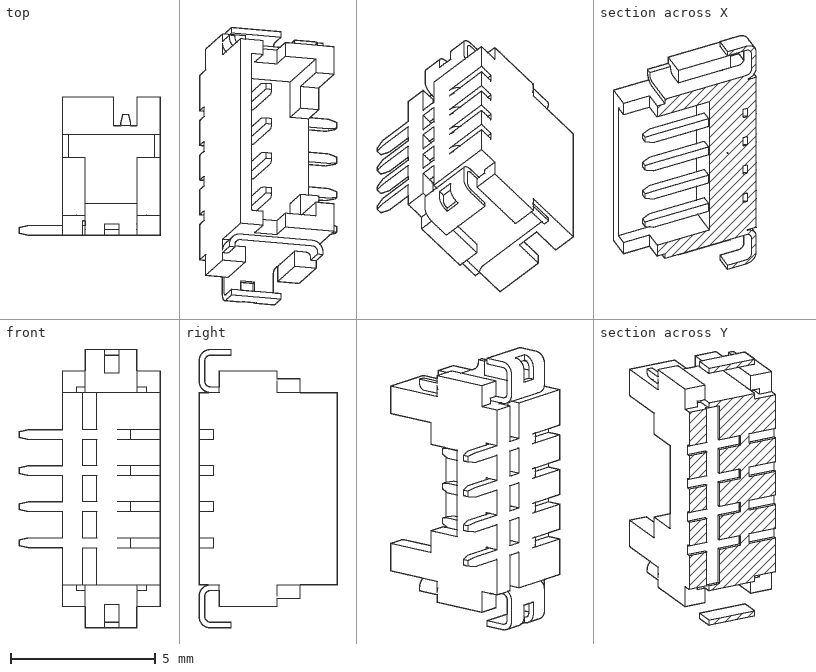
import cadquery as cq
import math


body_x = 3.4
body_y = 4.8
body_half_z = 3.33

front_wall = 0.67
rear_wall = 0.4
cavity_half_z = 2.83
cavity_floor_y = 1.8
window_upper_half_z = 2.34
window_upper_y = 2.99
window_lower_half_z = 1.55
key_x = 1.78
key_width = 0.8
key_depth = 0.99

pin_count = 4
pin_pitch = 1.25
pin_size = 0.35
pin_tail_length = 1.51
pin_upright_x = 2.02
pin_end_y = 4.2
pin_inner_bend = 0.11
tail_point_length = 0.33
upright_point_length = 0.29
pin_point_size = 0.2
slot_depth = 0.5
groove_x = 0.69
groove_width = 0.49

ear_bottom_y = 0.69
ear_top_y = 2.7
ear_end_z = 4.08
ear_gap_start_x = 0.78
ear_gap_end_x = 2.58

sheet = 0.2
clip_end_z = 4.825
clip_return_y = 1.11
clip_outer_bend = 0.4
clip_top_y = 3.5
clip_shoulder_x = 0.48
clip_shoulder_y = 1.0
clip_shoulder_radius = 0.2
curl_lip_end_z = 3.81
clip_window_x = 1.46
clip_window_width = 0.5
clip_window_start_z = 4.01

mid_x = body_x / 2
cos_45 = math.cos(math.pi / 4)


def box(x0, x1, y0, y1, z0, z1):
    """Box spanning the given limits along X, Y and Z."""
    return cq.Workplane("XY").box(x1 - x0, y1 - y0, z1 - z0, centered=False).translate((x0, y0, z0))


def pin_heights():
    """Centre heights of the pins, lowest first."""
    first = -(pin_count - 1) * pin_pitch / 2
    return [first + i * pin_pitch for i in range(pin_count)]


def make_housing():
    housing = box(0, body_x, 0, body_y, -body_half_z, body_half_z)
    cavity_end_x = body_x - rear_wall
    housing = housing.cut(
        box(front_wall, cavity_end_x, cavity_floor_y, body_y, -cavity_half_z, cavity_half_z)
    )

    for half_z, bottom_y in (
        (window_upper_half_z, window_upper_y),
        (window_lower_half_z, cavity_floor_y),
    ):
        housing = housing.cut(box(0, front_wall, bottom_y, body_y, -half_z, half_z))

    housing = housing.cut(
        box(key_x, key_x + key_width, body_y - key_depth, body_y, -body_half_z, body_half_z)
    )

    housing = housing.cut(
        box(groove_x, groove_x + groove_width, 0, slot_depth, -body_half_z, body_half_z)
    )
    for z in pin_heights():
        housing = housing.cut(box(0, body_x, 0, slot_depth, z - pin_size / 2, z + pin_size / 2))
    return housing


def make_pin():
    """One bent square pin centred on Z = 0, with tapered points on both ends."""
    tail_shank_x = tail_point_length - pin_tail_length
    upright_shank_y = pin_end_y - upright_point_length
    outer_x = pin_upright_x + pin_size
    outer_bend = pin_inner_bend + pin_size
    bend_center_x = pin_upright_x - pin_inner_bend
    bend_center_y = pin_size + pin_inner_bend

    pin = (
        cq.Workplane("XY")
        .moveTo(tail_shank_x, 0)
        .lineTo(bend_center_x, 0)
        .radiusArc((outer_x, bend_center_y), -outer_bend)
        .lineTo(outer_x, upright_shank_y)
        .lineTo(pin_upright_x, upright_shank_y)
        .lineTo(pin_upright_x, bend_center_y)
        .radiusArc((bend_center_x, pin_size), pin_inner_bend)
        .lineTo(tail_shank_x, pin_size)
        .close()
        .extrude(pin_size / 2, both=True)
    )
    tail_point = (
        cq.Workplane("YZ", origin=(tail_shank_x, pin_size / 2, 0))
        .rect(pin_size, pin_size)
        .workplane(offset=-tail_point_length)
        .rect(pin_point_size, pin_point_size)
        .loft(combine=True)
    )
    upright_point = (
        cq.Workplane("XZ", origin=(pin_upright_x + pin_size / 2, upright_shank_y, 0))
        .rect(pin_size, pin_size)
        .workplane(offset=-upright_point_length)
        .rect(pin_point_size, pin_point_size)
        .loft(combine=True)
    )
    return pin.union(tail_point).union(upright_point)


def make_ears():
    """Two ears above the +Z end, slotted at their base for the clip plate."""
    ears = box(0, ear_gap_start_x, ear_bottom_y, ear_top_y, body_half_z, ear_end_z)
    ears = ears.union(
        box(ear_gap_end_x, body_x, ear_bottom_y, ear_top_y, body_half_z, ear_end_z)
    )
    plate_slot = box(
        clip_shoulder_x, body_x - clip_shoulder_x,
        ear_bottom_y, ear_top_y,
        body_half_z, body_half_z + sheet,
    )
    return ears.cut(plate_slot)


def make_clip_plate():
    """Flat part of the clip on the +Z end, with its upper side edges curled away from the housing."""
    plate = (
        box(
            clip_shoulder_x, body_x - clip_shoulder_x,
            clip_shoulder_y, clip_top_y,
            body_half_z, body_half_z + sheet,
        )
        .edges("|Z and <Y")
        .fillet(clip_shoulder_radius)
    )
    inner_bend = clip_outer_bend - sheet
    bend_z = body_half_z + clip_outer_bend
    outer_mid = clip_outer_bend * (1 - cos_45)
    inner_mid = clip_outer_bend - inner_bend * cos_45
    half_curl = (
        cq.Workplane("XZ", origin=(0, clip_top_y, 0))
        .moveTo(mid_x, body_half_z)
        .lineTo(clip_outer_bend, body_half_z)
        .threePointArc((outer_mid, body_half_z + outer_mid), (0, bend_z))
        .lineTo(0, curl_lip_end_z)
        .lineTo(sheet, curl_lip_end_z)
        .lineTo(sheet, bend_z)
        .threePointArc((inner_mid, body_half_z + inner_mid), (clip_outer_bend, body_half_z + sheet))
        .lineTo(mid_x, body_half_z + sheet)
        .close()
        .extrude(clip_top_y - ear_top_y)
    )
    other_half = half_curl.mirror("YZ", (mid_x, 0, 0))
    return plate.union(half_curl).union(other_half)


def make_clip_foot():
    """U-shaped solder foot of the clip on the +Z end, with a window through its outer bend."""
    foot = (
        box(ear_gap_start_x, ear_gap_end_x, 0, clip_return_y, body_half_z, clip_end_z)
        .edges("|X and <Y")
        .fillet(clip_outer_bend)
    )
    hollow = (
        box(
            ear_gap_start_x, ear_gap_end_x,
            sheet, clip_return_y,
            body_half_z + sheet, clip_end_z - sheet,
        )
        .edges("|X and <Y")
        .fillet(clip_outer_bend - sheet)
    )
    window = box(
        clip_window_x, clip_window_x + clip_window_width,
        0, clip_outer_bend,
        clip_window_start_z, clip_end_z,
    )
    return foot.cut(hollow).cut(window)


end_fittings = make_ears().union(make_clip_plate()).union(make_clip_foot())
header = make_housing().union(end_fittings).union(end_fittings.mirror("XY"))
pin = make_pin()
for z in pin_heights():
    header = header.union(pin.translate((0, 0, z)), clean=False)

result = header